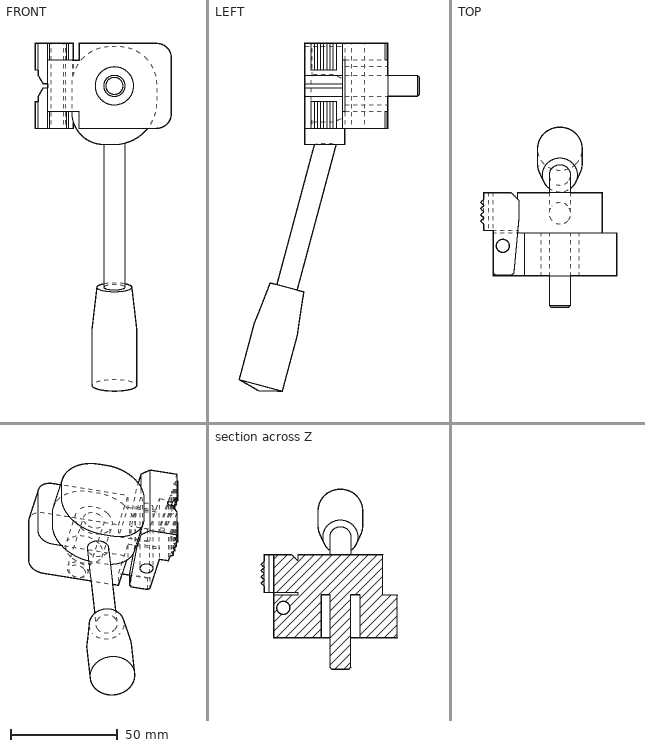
import cadquery as cq
import math


block_left = -16.5
block_right = 26.8
block_depth = 20.0
block_height = 40.0
block_corner_radius = 7.0
stud_hole_diameter = 18.0
block_top = block_height / 2
overlap = 0.8

neck_left = -31.3
neck_height = 24.2

stud_diameter = 10.0
stud_end = -35.0
stud_chamfer = 1.0

cam_thickness = 19.0
cam_half_width = 19.9
cam_top = 18.5
cam_bottom = -27.6
cam_top_radius = 18.0
cam_lower_left_radius = 15.0
cam_lower_right_radius = 20.0

jaw_face = -35.8
jaw_back = -19.3
jaw_step = 1.1
arm_end = -19.8
arm_back = -21.5
arm_chamfer = 1.0
taper_start = 5.9
jaw_corner_run = 3.6
pin_hole_diameter = 6.0
pin_hole_x = -26.8
pin_hole_y = -6.0

groove_height = 9.8
slit_height = 2.0
slit_start = -33.5
slit_floor = neck_left

tooth_count = 4
tooth_pitch = 3.0
tooth_height = 1.5
teeth_start = 15.8
teeth_inner_z = 7.3

lever_tilt = 15.0
lever_root_z = -28.4
rod_diameter = 10.0
rod_embed = 11.5
grip_start = 68.4
grip_shoulder = 88.6
grip_end = 116.0
grip_tip_height = 2.8
grip_neck_diameter = 16.5
grip_diameter = 21.0


def box(x_range, y_range, z_range):
    """Box between the given lower and upper limits."""
    (x0, x1), (y0, y1), (z0, z1) = x_range, y_range, z_range
    return cq.Workplane("XY").box(x1 - x0, y1 - y0, z1 - z0, centered=False).translate((x0, y0, z0))


def make_block():
    body = box((block_left, block_right), (-block_depth, 0), (-block_top, block_top))
    body = body.edges("|Y and >X").fillet(block_corner_radius)
    neck = box(
        (neck_left, block_left + overlap),
        (-block_depth, 0),
        (-neck_height / 2, neck_height / 2),
    )
    hole = cq.Workplane("XZ").circle(stud_hole_diameter / 2).extrude(block_depth)
    return body.union(neck).cut(hole)


def make_stud():
    stud = cq.Workplane("XZ", origin=(0, cam_thickness / 2, 0)).circle(stud_diameter / 2)
    stud = stud.extrude(cam_thickness / 2 - stud_end)
    return stud.faces("<Y").chamfer(stud_chamfer)


def make_cam():
    flat_half = cam_half_width - cam_top_radius
    shoulder_z = cam_top - cam_top_radius
    right_z = cam_bottom + cam_lower_right_radius
    left_z = cam_bottom + cam_lower_left_radius
    outline = (
        cq.Workplane("XZ")
        .moveTo(-flat_half, cam_top)
        .lineTo(flat_half, cam_top)
        .radiusArc((cam_half_width, shoulder_z), cam_top_radius)
        .lineTo(cam_half_width, right_z)
        .radiusArc((cam_half_width - cam_lower_right_radius, cam_bottom), cam_lower_right_radius)
        .lineTo(cam_lower_left_radius - cam_half_width, cam_bottom)
        .radiusArc((-cam_half_width, left_z), cam_lower_left_radius)
        .lineTo(-cam_half_width, shoulder_z)
        .radiusArc((-flat_half, cam_top), cam_top_radius)
        .close()
    )
    return outline.extrude(-cam_thickness)


def make_jaw():
    profile = [
        (jaw_face, cam_thickness),
        (jaw_back - jaw_corner_run, cam_thickness),
        (jaw_back, cam_thickness - jaw_corner_run),
        (jaw_back, taper_start),
        (arm_back, arm_end + arm_chamfer),
        (arm_back - arm_chamfer, arm_end),
        (neck_left + arm_chamfer, arm_end),
        (neck_left, arm_end + arm_chamfer),
        (neck_left, jaw_step),
        (jaw_face, jaw_step),
    ]
    jaw = cq.Workplane("XY", origin=(0, 0, -block_top)).polyline(profile).close().extrude(block_height)
    neck_slot = box(
        (neck_left, jaw_back),
        (arm_end, jaw_step),
        (-neck_height / 2, neck_height / 2),
    )
    return jaw.cut(neck_slot).cut(make_groove()).union(make_teeth())


def make_groove():
    upper = [
        (jaw_face, groove_height / 2),
        (slit_start, slit_height / 2),
        (slit_floor, slit_height / 2),
    ]
    lower = [(x, -z) for x, z in reversed(upper)]
    return cq.Workplane("XZ").polyline(upper + lower).close().extrude(-cam_thickness)


def make_teeth():
    row_length = block_top - teeth_inner_z
    outline = [(jaw_face + overlap, teeth_start)]
    for index in range(tooth_count):
        root_y = teeth_start - index * tooth_pitch
        outline.append((jaw_face, root_y))
        outline.append((jaw_face - tooth_height, root_y - tooth_pitch / 2))
    teeth_finish = teeth_start - tooth_count * tooth_pitch
    outline.append((jaw_face, teeth_finish))
    outline.append((jaw_face + overlap, teeth_finish))
    upper = cq.Workplane("XY", origin=(0, 0, teeth_inner_z)).polyline(outline).close().extrude(row_length)
    return upper.union(upper.mirror("XY"))


def make_lever():
    """Rod and grip, revolved about an axis that leans toward +Y as it goes down."""
    profile = [
        (0, -rod_embed),
        (rod_diameter / 2, -rod_embed),
        (rod_diameter / 2, grip_start),
        (grip_neck_diameter / 2, grip_start),
        (grip_diameter / 2, grip_shoulder),
        (grip_diameter / 2, grip_end),
        (0, grip_end + grip_tip_height),
    ]
    tilt = math.radians(lever_tilt)
    lever_plane = cq.Plane(
        origin=(0, cam_thickness / 2, lever_root_z),
        xDir=(1, 0, 0),
        normal=(0, math.cos(tilt), math.sin(tilt)),
    )
    return cq.Workplane(lever_plane).polyline(profile).close().revolve(360, (0, 0), (0, 1))


def make_pin_hole():
    hole = cq.Workplane("XY", origin=(pin_hole_x, pin_hole_y, -block_top))
    return hole.circle(pin_hole_diameter / 2).extrude(block_height)


result = make_block().union(make_jaw()).cut(make_pin_hole())
result = result.union(make_cam()).union(make_stud()).union(make_lever())